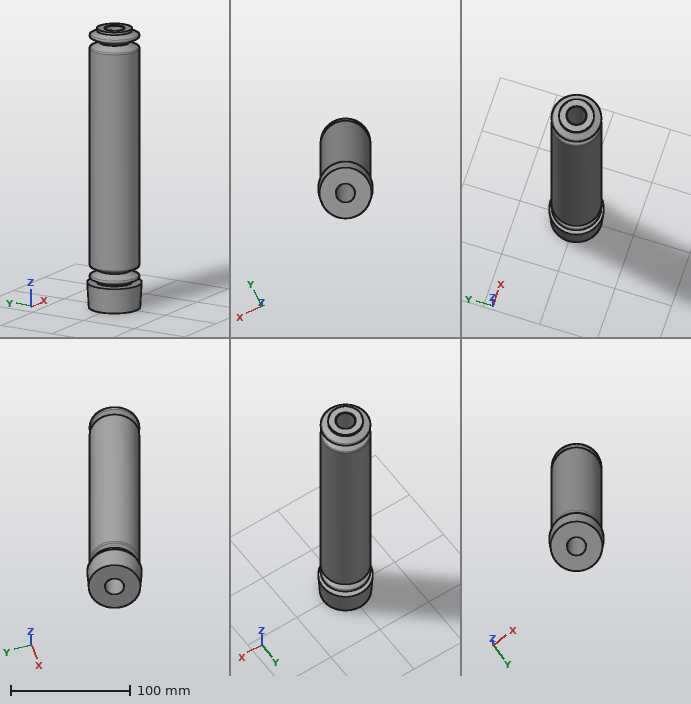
import cadquery as cq
import math

total_height = 242.41
body_radius = 42 / 2

foot_height = 21.6
foot_top_radius = 46 / 2
foot_bottom_radius = 43.5 / 2

flank_angle = 27
rim_fillet = 1.5
collar_radius = 29.4 / 2
neck_radius = 12.66
bottom_collar_height = 0.95
top_collar_height = 2.25
top_neck_width = 0.73

bore_diameter = 16
bore_chamfer = 0.57

flank_slope = math.tan(math.radians(flank_angle))
rib_peak_radius = body_radius - rim_fillet + rim_fillet / math.sin(math.radians(flank_angle))


def flank_rise(inner_radius, outer_radius):
    """Axial length of a conical flank between two radii."""
    return (outer_radius - inner_radius) * flank_slope


bottom_rib_start = foot_height + bottom_collar_height
bottom_rib_peak = bottom_rib_start + flank_rise(collar_radius, rib_peak_radius)
bottom_neck = bottom_rib_peak + flank_rise(neck_radius, rib_peak_radius)
body_bottom = bottom_neck + flank_rise(neck_radius, body_radius)

top_rib_end = total_height - top_collar_height
top_rib_peak = top_rib_end - flank_rise(collar_radius, rib_peak_radius)
top_neck_upper = top_rib_peak - flank_rise(neck_radius, rib_peak_radius)
top_neck_lower = top_neck_upper - top_neck_width
body_top = top_neck_lower - flank_rise(neck_radius, body_radius)


def make_turned_blank():
    """Solid of revolution with sharp rims."""
    profile = [
        (0, 0),
        (foot_bottom_radius, 0),
        (foot_top_radius, foot_height),
        (collar_radius, foot_height),
        (collar_radius, bottom_rib_start),
        (rib_peak_radius, bottom_rib_peak),
        (neck_radius, bottom_neck),
        (body_radius, body_bottom),
        (body_radius, body_top),
        (neck_radius, top_neck_lower),
        (neck_radius, top_neck_upper),
        (rib_peak_radius, top_rib_peak),
        (collar_radius, top_rib_end),
        (collar_radius, total_height),
        (0, total_height),
    ]
    return cq.Workplane("XZ").polyline(profile).close().revolve(360, (0, 0), (0, 1))


def round_rims(blank):
    """Round the crest of both ribs and both ends of the body."""
    half_window = rim_fillet / 4
    for height in (bottom_rib_peak, body_bottom, body_top, top_rib_peak):
        rim_box = cq.selectors.BoxSelector(
            (-foot_top_radius, -foot_top_radius, height - half_window),
            (foot_top_radius, foot_top_radius, height + half_window),
            boundingbox=True,
        )
        blank = blank.edges(rim_box).fillet(rim_fillet)
    return blank


def cut_bore(blank):
    """Through bore with a chamfered mouth at the top."""
    bored = blank.faces(">Z").workplane().hole(bore_diameter)
    mouth = bored.faces(">Z").edges(cq.selectors.RadiusNthSelector(0))
    return mouth.chamfer(bore_chamfer)


result = cut_bore(round_rims(make_turned_blank()))